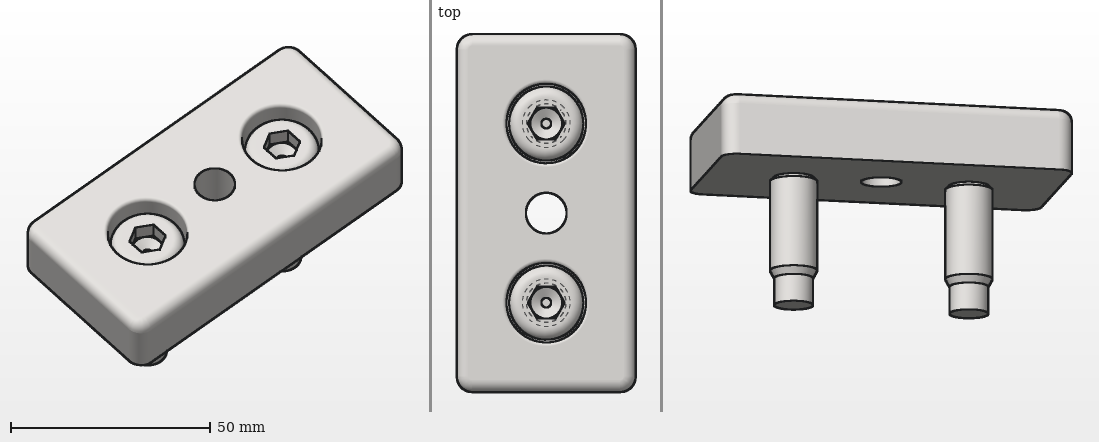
import cadquery as cq
import math

BLOCK_WIDTH = 45.0
BLOCK_LENGTH = 90.0
BLOCK_HEIGHT = 16.0
CORNER_RADIUS = 4.0
TOP_EDGE_RADIUS = 3.0
CENTRE_HOLE_DIAMETER = 10.2

SCREW_SPACING = BLOCK_LENGTH / 2
SEAT_DIAMETER = 20.0
SEAT_RIM_RADIUS = 1.0

HEAD_DIAMETER = 18.6
HEAD_HEIGHT = 7.0
HEAD_FLAT_DIAMETER = 13.0
HEAD_RECESS = 3.0

SOCKET_FLATS = 8.0
SOCKET_DEPTH = 4.5
DRILL_POINT_DEPTH = 1.6
DRILL_TIP_DIAMETER = 2.4

NECK_DIAMETER = 10.0
SHOULDER_DIAMETER = 12.0
THREAD_DIAMETER = 9.8
SHOULDER_END = 24.0
TAPER_END = 26.0
SCREW_END = 32.9

HEAD_TOP = BLOCK_HEIGHT - HEAD_RECESS
SEAT_FLOOR = HEAD_TOP - HEAD_HEIGHT
HEAD_EDGE_RADIUS = (HEAD_DIAMETER - HEAD_FLAT_DIAMETER) / 2
NECK_RADIUS = NECK_DIAMETER / 2
THREAD_RADIUS = THREAD_DIAMETER / 2
SHOULDER_RADIUS = SHOULDER_DIAMETER / 2
SHOULDER_CHAMFER = SHOULDER_RADIUS - NECK_RADIUS

SCREW_POSITIONS = [(0, -SCREW_SPACING / 2), (0, SCREW_SPACING / 2)]


def make_seat_cutter():
    """Clearance for one screw: neck hole, counterbore and rounded flare at the rim."""
    seat_radius = SEAT_DIAMETER / 2
    rim_start = BLOCK_HEIGHT - SEAT_RIM_RADIUS
    rim_outer = seat_radius + SEAT_RIM_RADIUS
    arc_offset = SEAT_RIM_RADIUS * (1 - math.sqrt(0.5))
    return (
        cq.Workplane("XZ")
        .lineTo(NECK_RADIUS, 0)
        .lineTo(NECK_RADIUS, SEAT_FLOOR)
        .lineTo(seat_radius, SEAT_FLOOR)
        .lineTo(seat_radius, rim_start)
        .threePointArc(
            (seat_radius + arc_offset, BLOCK_HEIGHT - arc_offset),
            (rim_outer, BLOCK_HEIGHT),
        )
        .lineTo(0, BLOCK_HEIGHT)
        .close()
        .revolve(360, (0, 0, 0), (0, 1, 0))
    )


def make_block():
    """Rounded block with a plain centre hole and two screw seats."""
    block = (
        cq.Workplane("XY")
        .rect(BLOCK_WIDTH, BLOCK_LENGTH)
        .extrude(BLOCK_HEIGHT)
        .edges("|Z")
        .fillet(CORNER_RADIUS)
        .faces(">Z")
        .edges()
        .fillet(TOP_EDGE_RADIUS)
    )
    centre_hole = cq.Workplane("XY").circle(CENTRE_HOLE_DIAMETER / 2).extrude(BLOCK_HEIGHT)
    block = block.cut(centre_hole)
    seat_cutter = make_seat_cutter()
    for x, y in SCREW_POSITIONS:
        block = block.cut(seat_cutter.translate((x, y, 0)))
    return block


def make_socket_cutter():
    """Hexagonal socket, corners along X, ending in a flat-tipped cone."""
    socket_floor = HEAD_TOP - SOCKET_DEPTH
    corner_diameter = SOCKET_FLATS / math.cos(math.pi / 6)
    hexagon = (
        cq.Workplane("XY")
        .workplane(offset=socket_floor)
        .polygon(6, corner_diameter)
        .extrude(SOCKET_DEPTH)
    )
    drill_point = (
        cq.Workplane("XZ")
        .moveTo(0, socket_floor)
        .lineTo(SOCKET_FLATS / 2, socket_floor)
        .lineTo(DRILL_TIP_DIAMETER / 2, socket_floor - DRILL_POINT_DEPTH)
        .lineTo(0, socket_floor - DRILL_POINT_DEPTH)
        .close()
        .revolve(360, (0, 0, 0), (0, 1, 0))
    )
    return hexagon.union(drill_point)


def make_screw():
    """Shoulder screw on the Z axis: stepped shaft, round-edged head and hexagonal socket."""
    head_radius = HEAD_DIAMETER / 2
    arc_offset = HEAD_EDGE_RADIUS * (1 - math.sqrt(0.5))
    body = (
        cq.Workplane("XZ")
        .moveTo(0, -SCREW_END)
        .lineTo(THREAD_RADIUS, -SCREW_END)
        .lineTo(THREAD_RADIUS, -TAPER_END)
        .lineTo(SHOULDER_RADIUS, -SHOULDER_END)
        .lineTo(SHOULDER_RADIUS, -SHOULDER_CHAMFER)
        .lineTo(NECK_RADIUS, 0)
        .lineTo(NECK_RADIUS, SEAT_FLOOR)
        .lineTo(head_radius, SEAT_FLOOR)
        .lineTo(head_radius, HEAD_TOP - HEAD_EDGE_RADIUS)
        .threePointArc(
            (head_radius - arc_offset, HEAD_TOP - arc_offset),
            (HEAD_FLAT_DIAMETER / 2, HEAD_TOP),
        )
        .lineTo(0, HEAD_TOP)
        .close()
        .revolve(360, (0, 0, 0), (0, 1, 0))
    )
    return body.cut(make_socket_cutter())


block = make_block()
screws = []
for x, y in SCREW_POSITIONS:
    screws.append(make_screw().translate((x, y, 0)))

result = cq.Compound.makeCompound([block.val()] + [screw.val() for screw in screws])